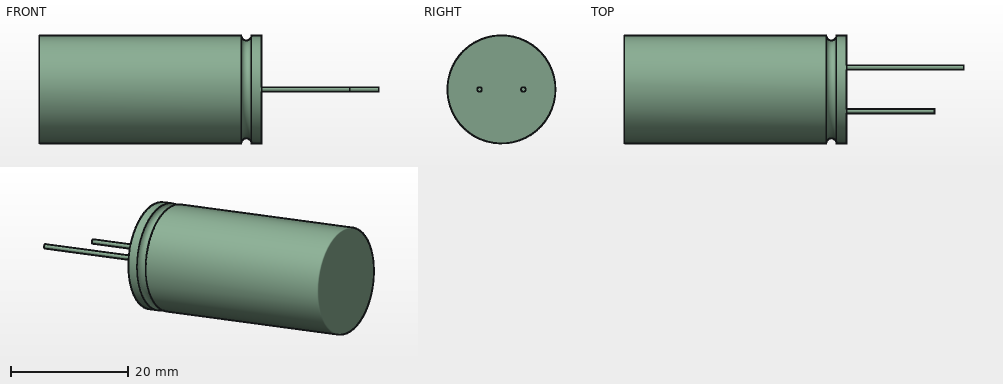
import cadquery as cq

overall_length = 58.0
can_diameter = 18.5
can_radius = can_diameter / 2
long_lead_length = 20.0
can_length = overall_length - long_lead_length
can_start = -overall_length / 2
can_end = can_start + can_length
end_fillet = 0.205

groove_radius = 0.85
rim_width = 1.75
groove_center = can_end - rim_width - groove_radius

lead_diameter = 0.8
lead_spacing = 7.5
short_lead_length = 15.0


def make_can():
    """Can turned about the X axis, with a half-round crimp groove."""
    return (
        cq.Workplane("XY")
        .moveTo(can_start, 0)
        .lineTo(can_start, can_radius)
        .lineTo(groove_center - groove_radius, can_radius)
        .threePointArc(
            (groove_center, can_radius - groove_radius),
            (groove_center + groove_radius, can_radius),
        )
        .lineTo(can_end, can_radius)
        .lineTo(can_end, 0)
        .close()
        .revolve(360, (0, 0, 0), (1, 0, 0))
        .faces("<X")
        .edges()
        .fillet(end_fillet)
    )


def make_lead(length, y):
    """Round wire standing on the +X end of the can."""
    return cq.Workplane("YZ", origin=(can_end, y, 0)).circle(lead_diameter / 2).extrude(length)


can = make_can()
lead_sizes = [
    (long_lead_length, lead_spacing / 2),
    (short_lead_length, -lead_spacing / 2),
]
leads = [make_lead(length, y) for length, y in lead_sizes]

result = cq.Compound.makeCompound([can.val(), *[lead.val() for lead in leads]])